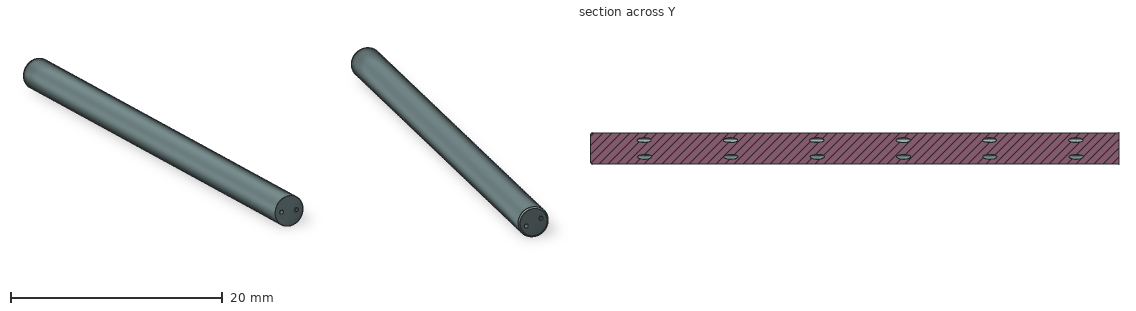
import cadquery as cq
import math

length = 50.0
rod_diameter = 3.0
chamfer = 0.15

channel_diameter = 0.4
channel_offset = 0.8
channel_count = 2
helix_angle = 30.0

pitch = math.pi * rod_diameter / math.tan(math.radians(helix_angle))
total_twist = 360.0 * length / pitch


def make_rod():
    """Cylinder with a chamfered rim on its -X end."""
    rod = cq.Workplane("YZ").workplane(offset=-length / 2).circle(rod_diameter / 2).extrude(length)
    return rod.faces("<X").chamfer(chamfer)


def make_channel(end_angle):
    """Twisted channel that reaches the +X face at end_angle from the Y axis."""
    start_angle = math.radians(end_angle - total_twist)
    return (
        cq.Workplane("YZ")
        .workplane(offset=-length / 2)
        .moveTo(channel_offset * math.cos(start_angle), channel_offset * math.sin(start_angle))
        .circle(channel_diameter / 2)
        .twistExtrude(length, total_twist)
    )


result = make_rod()
for index in range(channel_count):
    result = result.cut(make_channel(index * 360.0 / channel_count))